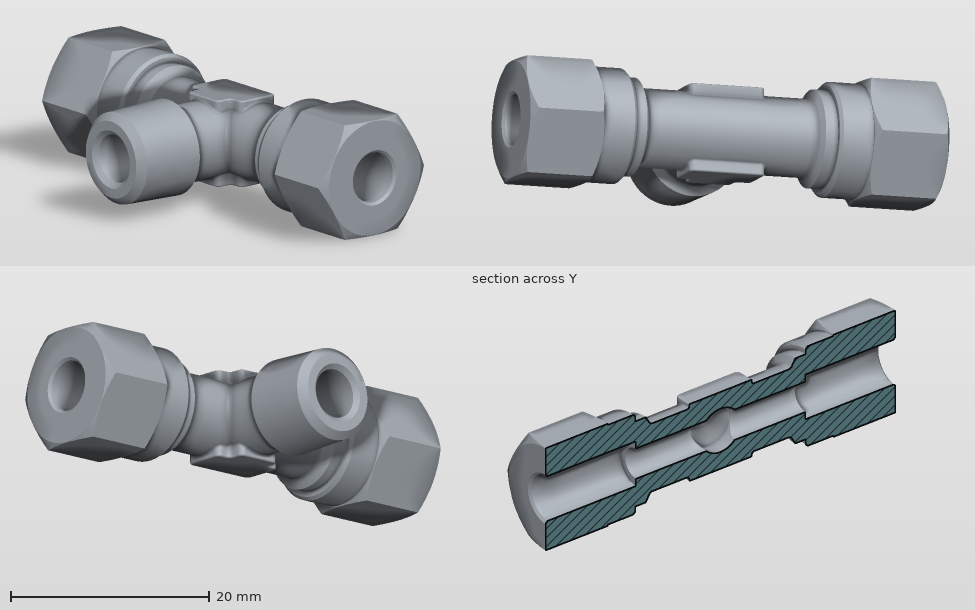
import cadquery as cq
import math

total_length = 44.8
half_length = total_length / 2
branch_length = 16.0

pipe_diameter = 8.0
pipe_radius = pipe_diameter / 2
blend_radius = 0.45
cone_angle = math.radians(60)

nut_flats = 12.0
nut_width = 8.0
nut_face_radius = 5.95
nut_chamfer_angle = math.radians(30)
collar_radius = 5.85
collar_end = 11.55
collar_chamfer = 0.3
shoulder_radius = 5.0
shoulder_end = 12.85

thread_length = 7.55
thread_radius = 4.97
thread_taper = 1 / 32
thread_tip_radius = 4.0
thread_chamfer = 0.8

run_bore_radius = 1.75
socket_radius = 2.6
socket_chamfer = 0.25
socket_depth = collar_end
branch_bore_radius = 2.5
branch_bore_chamfer = 0.5
branch_bore_end = 1.8
drill_tip_slope = math.tan(math.radians(30))

pad_height = 4.53
pad_half_width = 4.05
pad_half_depth = 2.3
pad_neck_half_width = 2.4
pad_neck_end = 4.05
pad_corner_radius = 0.55
pad_edge_radius = 0.2
pad_base_radius = 0.25
pad_wrap_angle = math.radians(45)
select_margin = 0.05


def turned_along_x(points):
    """Solid of revolution about X from (x, radius) points."""
    return cq.Workplane("XY").polyline(points).close().revolve(360, (0, 0, 0), (1, 0, 0))


def swung_to_branch(solid):
    """Turn a solid built along -X so that it lies along -Y."""
    return solid.rotate((0, 0, 0), (0, 0, 1), 90)


def pad_block():
    """T-shaped block whose top and bottom faces are the two pads."""
    outline = [
        (-pad_half_width, pad_half_depth),
        (pad_half_width, pad_half_depth),
        (pad_half_width, -pad_half_depth),
        (pad_neck_half_width, -pad_half_depth),
        (pad_neck_half_width, -pad_neck_end),
        (-pad_neck_half_width, -pad_neck_end),
        (-pad_neck_half_width, -pad_half_depth),
        (-pad_half_width, -pad_half_depth),
    ]
    block = cq.Workplane("XY").polyline(outline).close().extrude(pad_height, both=True)
    return block.edges("|Z").fillet(pad_corner_radius)


def pad_zone(lowest, highest):
    """Selector for both pads between two distances from the run axis."""
    half_width = pad_half_width + select_margin
    front = -pad_neck_end - select_margin
    back = pad_half_depth + select_margin
    above = cq.selectors.BoxSelector((-half_width, front, lowest), (half_width, back, highest))
    below = cq.selectors.BoxSelector((-half_width, front, -highest), (half_width, back, -lowest))
    return above + below


def pad_base_edges(body):
    """Edges where the pad sides meet the pipes."""
    lowest_edge = pipe_radius * math.cos(pad_wrap_angle)
    zone = pad_zone(lowest_edge, pipe_radius + select_margin)
    return body.edges(zone).edges("not |Z")


def pad_rim_edges(body):
    """Outlines of the two flat pad faces."""
    zone = pad_zone(pad_height - select_margin, pad_height + select_margin)
    return body.faces(zone).edges()


def pipes():
    """Run and branch pipes crossing at the origin."""
    run = cq.Workplane("YZ").circle(pipe_radius).extrude(half_length - shoulder_end, both=True)
    branch = cq.Workplane("XZ").circle(pipe_radius).extrude(branch_length - thread_length)
    return run.union(branch)


def blended_junction(body):
    """Fillet the joint of the two pipes, the roots of the pads and the pad edges."""
    body = body.edges("%ELLIPSE").fillet(blend_radius)
    body = pad_base_edges(body).fillet(pad_base_radius)
    return pad_rim_edges(body).fillet(pad_edge_radius)


def nut():
    """Hexagon nut at the -X end, chamfered on both faces, corners on +Y and -Y."""
    corner_radius = nut_flats / 2 / math.cos(math.pi / 6)
    end_plane = cq.Workplane("YZ", origin=(-half_length, 0, 0))
    hexagon = end_plane.polygon(6, 2 * corner_radius).extrude(nut_width)
    chamfer_length = (corner_radius - nut_face_radius) * math.tan(nut_chamfer_angle)
    outer = -half_length
    inner = outer + nut_width
    envelope = turned_along_x([
        (outer, 0),
        (outer, nut_face_radius),
        (outer + chamfer_length, corner_radius),
        (inner - chamfer_length, corner_radius),
        (inner, nut_face_radius),
        (inner, 0),
    ])
    return hexagon.intersect(envelope)


def root_blend(profile, cone_start, large_radius):
    """Continue a profile down a shoulder cone and round its root into the pipe."""
    cone_end = cone_start + (large_radius - pipe_radius) / math.tan(cone_angle)
    setback = blend_radius * math.tan(cone_angle / 2)
    middle = cone_angle / 2
    arc_end = cone_end + setback
    arc_start = (
        cone_end - setback * math.cos(cone_angle),
        pipe_radius + setback * math.sin(cone_angle),
    )
    arc_middle = (
        arc_end - blend_radius * math.sin(middle),
        pipe_radius + blend_radius * (1 - math.cos(middle)),
    )
    return (
        profile.lineTo(*arc_start)
        .threePointArc(arc_middle, (arc_end, pipe_radius))
        .lineTo(arc_end, 0)
        .close()
        .revolve(360, (0, 0, 0), (1, 0, 0))
    )


def collar():
    """Collar and coned shoulder between the -X nut and the pipe."""
    step = -half_length + collar_end
    cone_start = -half_length + shoulder_end
    profile = cq.Workplane("XY").polyline([
        (-half_length + nut_width, 0),
        (-half_length + nut_width, collar_radius),
        (step - collar_chamfer, collar_radius),
        (step, collar_radius - collar_chamfer),
        (step, shoulder_radius),
        (cone_start, shoulder_radius),
    ])
    return root_blend(profile, cone_start, shoulder_radius)


def thread():
    """Tapered thread body on the branch, turned along X and then swung round to -Y."""
    chamfer_start = -branch_length + thread_chamfer
    thread_start = -branch_length + thread_length
    small_radius = thread_radius - thread_taper * (thread_length - thread_chamfer)
    profile = cq.Workplane("XY").polyline([
        (-branch_length, 0),
        (-branch_length, thread_tip_radius),
        (chamfer_start, small_radius),
        (thread_start, thread_radius),
    ])
    turned = root_blend(profile, thread_start, thread_radius)
    return swung_to_branch(turned)


def socket():
    """Tube socket cut into the -X end."""
    outer = -half_length
    return turned_along_x([
        (outer, 0),
        (outer, socket_radius + socket_chamfer),
        (outer + socket_chamfer, socket_radius),
        (outer + socket_depth, socket_radius),
        (outer + socket_depth, 0),
    ])


def branch_bore():
    """Drilled branch bore with a chamfered mouth and a conical tip."""
    mouth = -branch_length
    bore = turned_along_x([
        (mouth, 0),
        (mouth, branch_bore_radius + branch_bore_chamfer),
        (mouth + branch_bore_chamfer, branch_bore_radius),
        (branch_bore_end, branch_bore_radius),
        (branch_bore_end + branch_bore_radius * drill_tip_slope, 0),
    ])
    return swung_to_branch(bore)


left_end = nut().union(collar())
run_bore = cq.Workplane("YZ").circle(run_bore_radius).extrude(half_length, both=True)

result = pipes().union(pad_block()).union(thread())
result = result.union(left_end).union(left_end.mirror("YZ"))
result = result.cut(run_bore).cut(branch_bore())
result = result.cut(socket()).cut(socket().mirror("YZ"))
result = blended_junction(result)